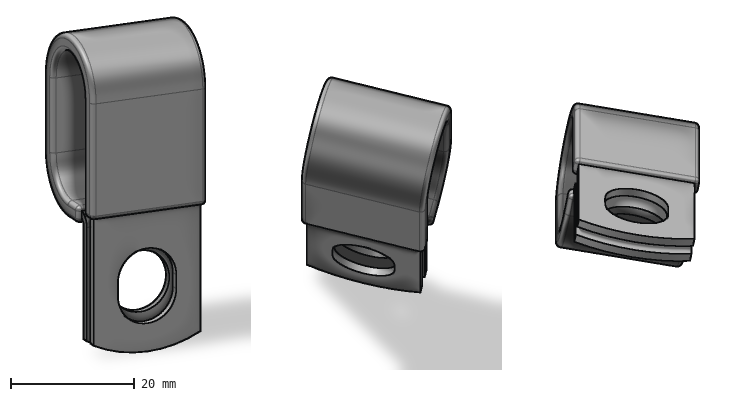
import cadquery as cq
import math

height = 52.8
cushion_outer_width = 18.3
cushion_length = 20.65
strap_thickness = 1.3
edge_radius = 0.8
lower_arc_z = 30.9
foot_end_x = 3.7
leg_end_z = 23.75
near_tab_outer_x = 5.65
bend_outer_radius = 2.2
hole_diameter = 10.4
slot_length = 12.8
hole_z = 11.2
tab_tip_rise = 2.2

cushion_thickness = strap_thickness + 2 * edge_radius
strap_width = cushion_length - 2 * edge_radius
outer_radius = cushion_outer_width / 2
inner_radius = outer_radius - cushion_thickness
mid_radius = (outer_radius + inner_radius) / 2
upper_arc_z = height - outer_radius
foot_mid_z = lower_arc_z - mid_radius
foot_bottom_z = lower_arc_z - outer_radius
foot_top_z = lower_arc_z - inner_radius
diagonal = math.sqrt(0.5)


def cushion():
    """Band around the loop, rounded on both rims and at both free ends."""
    band = (
        cq.Workplane("XZ")
        .moveTo(outer_radius, leg_end_z)
        .lineTo(outer_radius, upper_arc_z)
        .threePointArc((0, height), (-outer_radius, upper_arc_z))
        .lineTo(-outer_radius, lower_arc_z)
        .threePointArc(
            (-outer_radius * diagonal, lower_arc_z - outer_radius * diagonal),
            (0, foot_bottom_z),
        )
        .lineTo(foot_end_x, foot_bottom_z)
        .lineTo(foot_end_x, foot_top_z)
        .lineTo(0, foot_top_z)
        .threePointArc(
            (-inner_radius * diagonal, lower_arc_z - inner_radius * diagonal),
            (-inner_radius, lower_arc_z),
        )
        .lineTo(-inner_radius, upper_arc_z)
        .threePointArc((0, upper_arc_z + inner_radius), (inner_radius, upper_arc_z))
        .lineTo(inner_radius, leg_end_z)
        .close()
        .extrude(cushion_length / 2, both=True)
    )
    foot_end = cq.selectors.NearestToPointSelector((foot_end_x, 0, foot_mid_z))
    leg_end = cq.selectors.NearestToPointSelector((mid_radius, 0, leg_end_z))
    rims = band.faces("|Y").edges()
    ends = band.faces(foot_end).edges("|Y").add(band.faces(leg_end).edges("|Y"))
    return rims.add(ends).fillet(edge_radius)


def near_tab():
    """Strap leaving the cushion foot and bending down into the first tab."""
    strap_top_z = foot_mid_z + strap_thickness / 2
    bend_x = near_tab_outer_x - bend_outer_radius
    bend_z = strap_top_z - bend_outer_radius
    bend_inner_radius = bend_outer_radius - strap_thickness
    return (
        cq.Workplane("XZ")
        .moveTo(0, strap_top_z)
        .lineTo(bend_x, strap_top_z)
        .threePointArc(
            (bend_x + bend_outer_radius * diagonal, bend_z + bend_outer_radius * diagonal),
            (near_tab_outer_x, bend_z),
        )
        .lineTo(near_tab_outer_x, 0)
        .lineTo(near_tab_outer_x - strap_thickness, 0)
        .lineTo(near_tab_outer_x - strap_thickness, bend_z)
        .threePointArc(
            (bend_x + bend_inner_radius * diagonal, bend_z + bend_inner_radius * diagonal),
            (bend_x, bend_z + bend_inner_radius),
        )
        .lineTo(0, bend_z + bend_inner_radius)
        .close()
        .extrude(strap_width / 2, both=True)
    )


def far_tab():
    """Straight tab continuing down from the middle of the cushion leg."""
    return cq.Workplane("XY").box(
        strap_thickness, strap_width, upper_arc_z, centered=(True, True, False)
    ).translate((mid_radius, 0, 0))


def tab_outline():
    """Side shape shared by both tabs, with an arched tip."""
    half_width = strap_width / 2
    return (
        cq.Workplane("YZ")
        .moveTo(-half_width, tab_tip_rise)
        .threePointArc((0, 0), (half_width, tab_tip_rise))
        .lineTo(half_width, height)
        .lineTo(-half_width, height)
        .close()
        .extrude(cushion_outer_width)
    )


def bolt_hole():
    """Round hole for the near tab."""
    return cq.Workplane("YZ").center(0, hole_z).circle(hole_diameter / 2).extrude(cushion_outer_width)


def bolt_slot():
    """Upright slot for the far tab, as wide as the hole in the near tab."""
    return (
        cq.Workplane("YZ")
        .center(0, hole_z)
        .slot2D(slot_length, hole_diameter, 90)
        .extrude(cushion_outer_width)
    )


near = near_tab().intersect(tab_outline()).cut(bolt_hole())
far = far_tab().intersect(tab_outline()).cut(bolt_slot())
result = cushion().union(near).union(far)